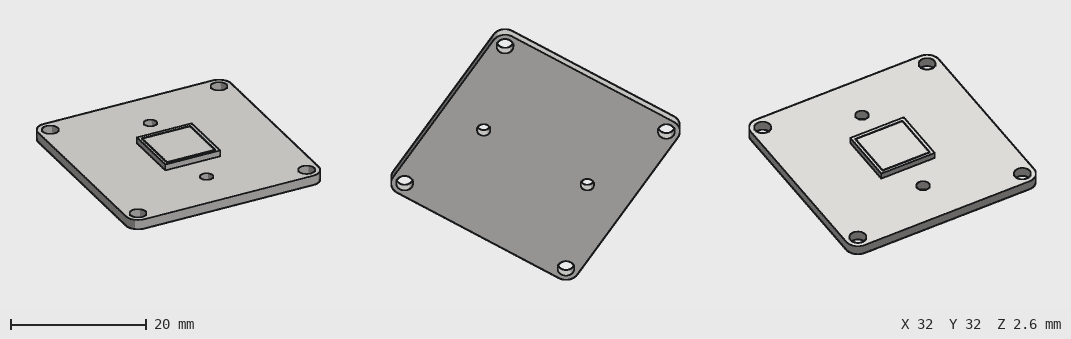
import cadquery as cq

board_side = 32.0
board_thickness = 1.6
corner_radius = 2.0

corner_hole_spacing = 28.0
corner_hole_diameter = 2.5
lens_hole_spacing = 18.0
lens_hole_diameter = 2.0

sensor_side = 9.1
sensor_height = 1.0
window_side = 8.0
window_depth = 0.1


def make_board():
    """Rounded plate with four corner holes and two holes beside the sensor."""
    plate = cq.Workplane("XY").rect(board_side, board_side).extrude(board_thickness)
    plate = plate.edges("|Z").fillet(corner_radius)
    plate = (
        plate.faces(">Z").workplane()
        .rect(corner_hole_spacing, corner_hole_spacing, forConstruction=True)
        .vertices()
        .hole(corner_hole_diameter)
    )
    return (
        plate.faces(">Z").workplane()
        .rarray(lens_hole_spacing, 0.32, 2, 1)
        .hole(lens_hole_diameter)
    )


def make_sensor():
    """Square block standing on the board, with its window sunk in the top."""
    block = (
        cq.Workplane("XY").workplane(offset=board_thickness)
        .rect(sensor_side, sensor_side)
        .extrude(sensor_height)
    )
    return block.faces(">Z").workplane().rect(window_side, window_side).cutBlind(-window_depth)


result = make_board().union(make_sensor())